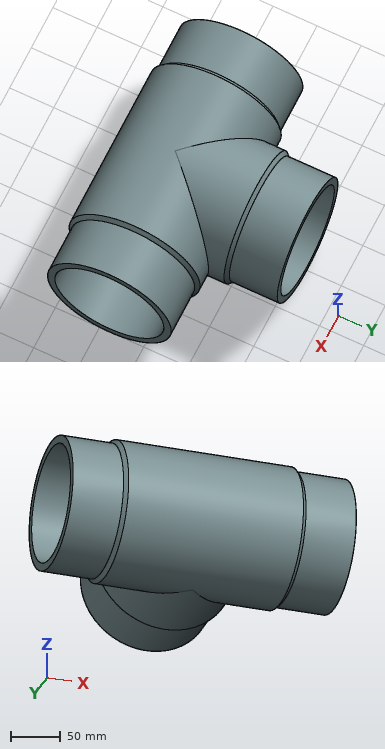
import cadquery as cq

run_length = 304.0
branch_length = 150.0
body_diameter = 148.5
spigot_diameter = 140.0
bore_diameter = 123.5
spigot_length = 54.0

body_radius = body_diameter / 2
spigot_radius = spigot_diameter / 2
bore_radius = bore_diameter / 2
half_run = run_length / 2
shoulder = body_radius - spigot_radius


def arm_outline(length):
    """Outer (along, radius) points of an arm, from its body to its end face."""
    shoulder_end = length - spigot_length
    return [
        (shoulder_end - shoulder, body_radius),
        (shoulder_end, spigot_radius),
        (length, spigot_radius),
        (length, 0),
    ]


right_half = arm_outline(half_run)
left_half = [(-along, radius) for along, radius in reversed(right_half)]
run = (
    cq.Workplane("XY")
    .polyline(left_half + right_half)
    .close()
    .revolve(360, (0, 0), (1, 0))
)

branch_points = [(0, 0), (0, body_radius)] + arm_outline(branch_length)
branch = (
    cq.Workplane("XY")
    .polyline([(radius, along) for along, radius in branch_points])
    .close()
    .revolve(360, (0, 0), (0, 1))
)

run_bore = cq.Workplane("YZ").circle(bore_radius).extrude(half_run, both=True)
branch_bore = cq.Workplane("XZ").circle(bore_radius).extrude(-branch_length)

result = run.union(branch).cut(run_bore).cut(branch_bore)